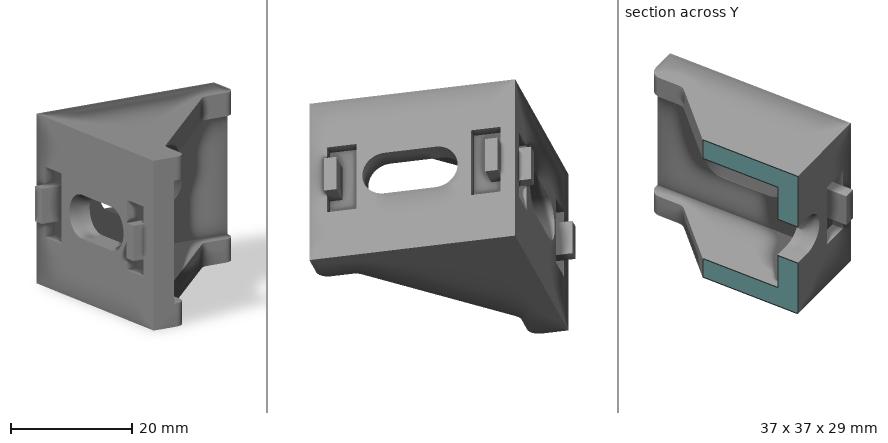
import cadquery as cq

leg_length = 35.0
height = 29.0
mid_height = height / 2

side_plate_thickness = 4.0
leg_end_width = 6.5
leg_end_flat = 6.5
outline_radius = 2.0

wall_thickness = 4.0

slot_length = 16.2
slot_width = 7.5
slot_center = 17.9

recess_width = 5.0
recess_height = 12.0
recess_depth = 2.0
recess_starts = (2.5, 27.0)
tab_width = 2.1
tab_height = 6.0
tab_projection = 2.0


def make_body():
    """Full-height prism with the sloped outline of the side plates."""
    slope_start = leg_length - leg_end_flat
    outline = [
        (0, 0),
        (leg_length, 0),
        (leg_length, leg_end_width),
        (slope_start, leg_end_width),
        (leg_end_width, slope_start),
        (leg_end_width, leg_length),
        (0, leg_length),
    ]
    rounded_corners = outline[2:6]
    body = cq.Workplane("XY").polyline(outline).close().extrude(height)
    for x, y in rounded_corners:
        edge_finder = cq.selectors.NearestToPointSelector((x, y, mid_height))
        body = body.edges("|Z").edges(edge_finder).fillet(outline_radius)
    return body


def make_cavity():
    """Open space between the side plates, behind both walls."""
    span = leg_length - wall_thickness
    return (
        cq.Workplane("XY")
        .box(span, span, height - 2 * side_plate_thickness, centered=False)
        .translate((wall_thickness, wall_thickness, side_plate_thickness))
    )


def make_wall_block(start_x, width, block_height, start_y, end_y):
    """Box on the Y = 0 wall, centred on the mid height."""
    return (
        cq.Workplane("XY")
        .box(width, end_y - start_y, block_height, centered=False)
        .translate((start_x, start_y, mid_height - block_height / 2))
    )


def make_slot():
    """Screw slot through the Y = 0 wall."""
    return (
        cq.Workplane("XZ")
        .center(slot_center, mid_height)
        .slot2D(slot_length, slot_width)
        .extrude(-wall_thickness)
    )


def mirror_to_other_wall(shape):
    """Swap X and Y, carrying a feature of the Y = 0 wall to the X = 0 wall."""
    quarter_turn = shape.rotate((0, 0, 0), (0, 0, 1), 90)
    return quarter_turn.mirror("YZ")


def make_recesses():
    first, second = [
        make_wall_block(start, recess_width, recess_height, 0, recess_depth)
        for start in recess_starts
    ]
    return first.union(second)


def make_tabs():
    """Each tab sits against the recess side nearest its end of the wall."""
    near_start, far_start = recess_starts
    tab_starts = (near_start, far_start + recess_width - tab_width)
    first, second = [
        make_wall_block(start, tab_width, tab_height, -tab_projection, recess_depth)
        for start in tab_starts
    ]
    return first.union(second)


wall_cuts = make_slot().union(make_recesses())
wall_tabs = make_tabs()

result = make_body().cut(make_cavity())
result = result.cut(wall_cuts).cut(mirror_to_other_wall(wall_cuts))
result = result.union(wall_tabs).union(mirror_to_other_wall(wall_tabs))